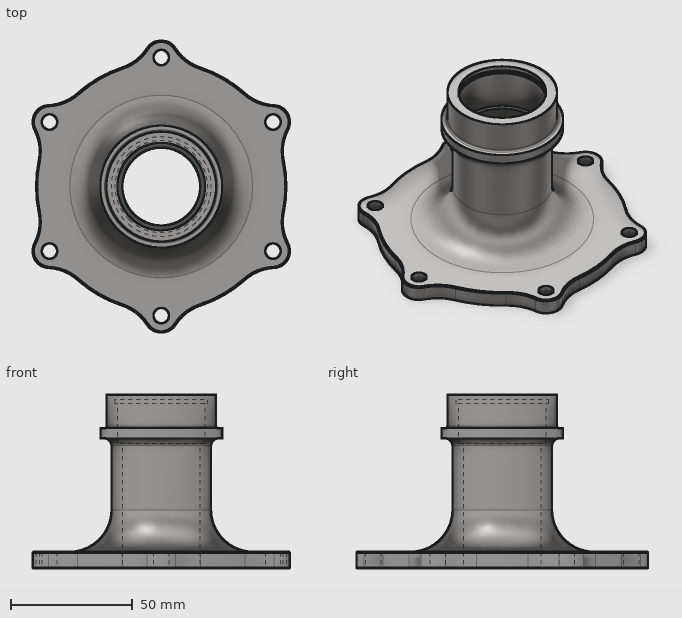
import cadquery as cq
import math

overall_length = 120.0
total_height = 71.5
lug_count = 6
first_lug_angle = 90

flange_thickness = 7.0
flange_radius = 51.5
bolt_circle_radius = 53.0
lug_radius = overall_length / 2 - bolt_circle_radius
lug_blend_radius = 19.2
bolt_hole_diameter = 6.2
flange_edge_chamfer = 0.5

neck_radius = 20.5
neck_base_fillet = 17.0

collar_radius = 25.1
collar_bottom = 53.5
collar_height = 4.2
collar_under_fillet = 3.0
spigot_radius = 22.5
spigot_root_fillet = 0.7

bore_radius = 16.0
seat_radius = 18.0
seat_depth = 20.0
groove_radius = 19.0
groove_depth = 2.0
groove_width = 1.5


def polar(radius, angle):
    """Point at a distance and an angle (radians) from the part axis."""
    return (radius * math.cos(angle), radius * math.sin(angle))


def point_between(start, end, distance):
    """Point on the line from start towards end, at a distance from start."""
    share = distance / math.dist(start, end)
    return (start[0] + share * (end[0] - start[0]), start[1] + share * (end[1] - start[1]))


def flange_outline():
    """Round disc with six lugs, each joined to the disc by concave arcs tangent to both."""
    pitch = 2 * math.pi / lug_count
    axis = (0, 0)

    blend_centre_radius = flange_radius + lug_blend_radius
    blend_to_lug = lug_radius + lug_blend_radius
    blend_angle = math.acos(
        (blend_centre_radius**2 + bolt_circle_radius**2 - blend_to_lug**2)
        / (2 * blend_centre_radius * bolt_circle_radius)
    )

    first_angle = math.radians(first_lug_angle)
    outline = cq.Workplane("XY").moveTo(*polar(flange_radius, first_angle - blend_angle))
    for index in range(lug_count):
        lug_angle = first_angle + index * pitch
        lug_centre = polar(bolt_circle_radius, lug_angle)
        blend_in = polar(blend_centre_radius, lug_angle - blend_angle)
        blend_out = polar(blend_centre_radius, lug_angle + blend_angle)
        lug_start = point_between(lug_centre, blend_in, lug_radius)
        lug_end = point_between(lug_centre, blend_out, lug_radius)
        lug_tip = polar(bolt_circle_radius + lug_radius, lug_angle)
        disc_start = point_between(axis, blend_out, flange_radius)
        disc_middle = polar(flange_radius, lug_angle + pitch / 2)
        disc_end = polar(flange_radius, lug_angle + pitch - blend_angle)
        outline = (
            outline.radiusArc(lug_start, lug_blend_radius)
            .threePointArc(lug_tip, lug_end)
            .radiusArc(disc_start, lug_blend_radius)
            .threePointArc(disc_middle, disc_end)
        )
    return outline.close()


def make_flange():
    flange = flange_outline().extrude(flange_thickness)
    return flange.faces("<Z or >Z").edges().chamfer(flange_edge_chamfer)


def make_tube():
    """Solid of revolution: flared neck, collar and spigot."""
    collar_top = collar_bottom + collar_height
    neck_bottom = flange_thickness + neck_base_fillet
    neck_top = collar_bottom - collar_under_fillet
    profile = (
        cq.Workplane("XZ")
        .lineTo(neck_radius + neck_base_fillet, 0)
        .lineTo(neck_radius + neck_base_fillet, flange_thickness)
        .radiusArc((neck_radius, neck_bottom), neck_base_fillet)
        .lineTo(neck_radius, neck_top)
        .radiusArc((neck_radius + collar_under_fillet, collar_bottom), collar_under_fillet)
        .lineTo(collar_radius, collar_bottom)
        .lineTo(collar_radius, collar_top)
        .lineTo(spigot_radius + spigot_root_fillet, collar_top)
        .radiusArc((spigot_radius, collar_top + spigot_root_fillet), spigot_root_fillet)
        .lineTo(spigot_radius, total_height)
        .lineTo(0, total_height)
        .close()
    )
    return profile.revolve(360, (0, 0, 0), (0, 1, 0))


def make_bore():
    """Through bore with a wider seat at the top and a retaining-ring groove in the seat wall."""
    seat_floor = total_height - seat_depth
    groove_floor = total_height - groove_depth - groove_width
    bore = cq.Workplane("XY").circle(bore_radius).extrude(total_height)
    seat = cq.Workplane("XY").workplane(offset=seat_floor).circle(seat_radius).extrude(seat_depth)
    groove = cq.Workplane("XY").workplane(offset=groove_floor).circle(groove_radius).extrude(groove_width)
    return bore.union(seat).union(groove)


def make_bolt_holes():
    return (
        cq.Workplane("XY")
        .polarArray(bolt_circle_radius, first_lug_angle, 360, lug_count)
        .circle(bolt_hole_diameter / 2)
        .extrude(flange_thickness)
    )


result = make_flange().union(make_tube()).cut(make_bore()).cut(make_bolt_holes())